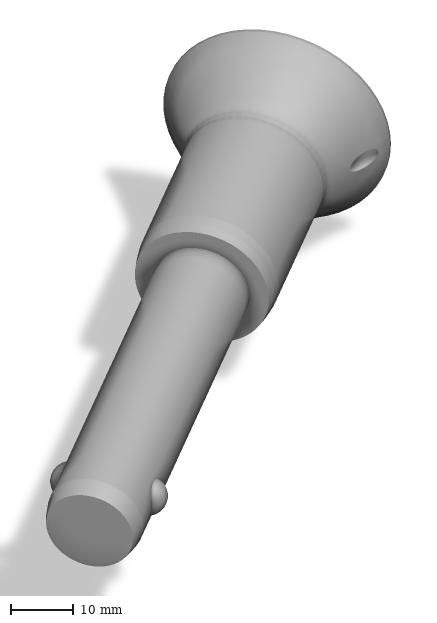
import cadquery as cq

length = 107.1
head_diameter = 38.0
head_radius = head_diameter / 2
rim_width = 0.6
flare_end = 12.6
flare_end_radius = 12.0
flare_sag = 0.3
grip_radius = 11.8
grip_start = 13.6
grip_end = 39.5
collar_start = 41.5
collar_start_radius = 11.6
collar_end = 43.2
collar_end_radius = 11.2
shank_radius = 8.0
tip_length = 3.3
tip_radius = 7.3
tip_bulge = 0.1
ball_radius = 3.2
ball_reach = 9.7
ball_from_tip = 11.1
hole_diameter = 3.2
hole_offset = 16.1

head_face_y = length / 2
tip_y = -length / 2


def along(distance):
    """Y position of a point at this distance from the head face."""
    return head_face_y - distance


def pin_body():
    """Head, grip, collar and shank revolved about the Y axis."""
    flare_middle = (
        (head_radius + flare_end_radius) / 2 - flare_sag,
        along((rim_width + flare_end) / 2),
    )
    tip_middle = (
        (shank_radius + tip_radius) / 2 + tip_bulge,
        tip_y + tip_length / 2,
    )
    return (
        cq.Workplane("XY")
        .moveTo(0, head_face_y)
        .lineTo(head_radius, head_face_y)
        .lineTo(head_radius, along(rim_width))
        .threePointArc(flare_middle, (flare_end_radius, along(flare_end)))
        .lineTo(grip_radius, along(grip_start))
        .lineTo(grip_radius, along(grip_end))
        .lineTo(collar_start_radius, along(collar_start))
        .lineTo(collar_end_radius, along(collar_end))
        .lineTo(shank_radius, along(collar_end))
        .lineTo(shank_radius, tip_y + tip_length)
        .threePointArc(tip_middle, (tip_radius, tip_y))
        .lineTo(0, tip_y)
        .close()
        .revolve(360, (0, 0, 0), (0, 1, 0))
    )


def locking_ball(side):
    """Ball standing out of the shank on one side (+1 or -1 along X)."""
    center_x = side * (ball_reach - ball_radius)
    return cq.Workplane("XY").sphere(ball_radius).translate((center_x, tip_y + ball_from_tip, 0))


def lanyard_hole():
    """Cutter for the hole through the flared head, parallel to the pin axis."""
    return (
        cq.Workplane("XZ", origin=(hole_offset, head_face_y, 0))
        .circle(hole_diameter / 2)
        .extrude(flare_end)
    )


result = pin_body()
for side in (-1, 1):
    result = result.union(locking_ball(side))
result = result.cut(lanyard_hole())